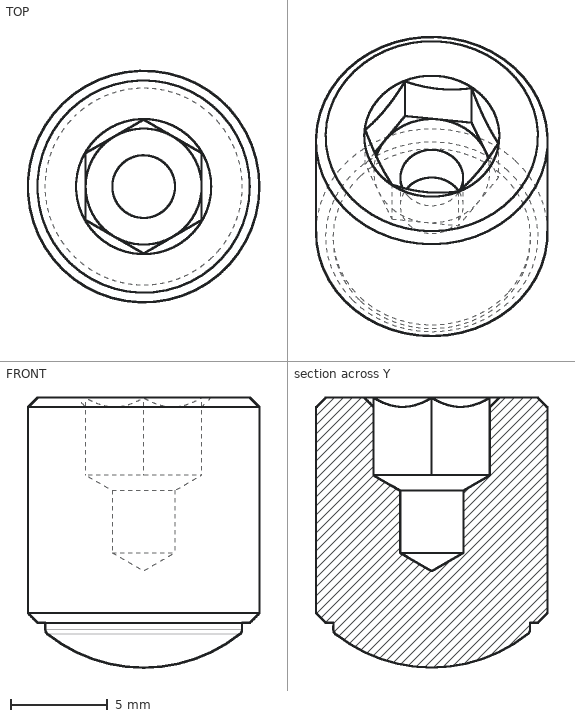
import cadquery as cq
import math

total_height = 14.0
body_diameter = 12.0
edge_chamfer = 0.5

pad_height = 2.32
pad_diameter = 10.2
dome_radius = 8.0
dome_edge_fillet = 0.3

hex_across_flats = 6.0
hex_depth = 4.03
countersink_diameter = 7.0
countersink_angle = 45.0
pilot_diameter = 3.25
pilot_depth = 3.22
drill_slope = math.radians(30.0)


def make_body():
    return (
        cq.Workplane("XY", origin=(0, 0, pad_height))
        .circle(body_diameter / 2)
        .extrude(total_height - pad_height)
        .edges()
        .chamfer(edge_chamfer)
    )


def make_pad():
    """Cylinder ending in a spherical cap whose lowest point is at the origin."""
    radius = pad_diameter / 2
    cap_height = dome_radius - math.sqrt(dome_radius**2 - radius**2)
    half_angle = math.asin(radius / dome_radius) / 2
    arc_middle = (
        dome_radius * math.sin(half_angle),
        dome_radius * (1 - math.cos(half_angle)),
    )
    overlap = edge_chamfer
    cap_edge = cq.selectors.BoxSelector(
        (-body_diameter, -body_diameter, cap_height / 2),
        (body_diameter, body_diameter, cap_height + dome_edge_fillet / 2),
        boundingbox=False,
    )
    return (
        cq.Workplane("XZ")
        .moveTo(0, 0)
        .threePointArc(arc_middle, (radius, cap_height))
        .lineTo(radius, pad_height + overlap)
        .lineTo(0, pad_height + overlap)
        .close()
        .revolve(360, (0, 0, 0), (0, 1, 0))
        .edges("%CIRCLE")
        .edges(cap_edge)
        .fillet(dome_edge_fillet)
    )


def make_hex_socket():
    across_corners = hex_across_flats / math.cos(math.radians(30))
    return (
        cq.Workplane("XY", origin=(0, 0, total_height))
        .transformed(rotate=(0, 0, 90))
        .polygon(6, across_corners)
        .extrude(-hex_depth)
    )


def make_round_socket():
    """Countersunk mouth, conical floor and pilot hole, turned as one profile."""
    mouth_radius = countersink_diameter / 2
    hex_radius = hex_across_flats / 2
    pilot_radius = pilot_diameter / 2
    countersink_depth = (mouth_radius - hex_radius) / math.tan(math.radians(countersink_angle))
    floor_z = total_height - hex_depth
    pilot_top_z = floor_z - (hex_radius - pilot_radius) * math.tan(drill_slope)
    pilot_bottom_z = pilot_top_z - pilot_depth
    tip_z = pilot_bottom_z - pilot_radius * math.tan(drill_slope)
    return (
        cq.Workplane("XZ")
        .moveTo(0, total_height)
        .lineTo(mouth_radius, total_height)
        .lineTo(hex_radius, total_height - countersink_depth)
        .lineTo(hex_radius, floor_z)
        .lineTo(pilot_radius, pilot_top_z)
        .lineTo(pilot_radius, pilot_bottom_z)
        .lineTo(0, tip_z)
        .close()
        .revolve(360, (0, 0, 0), (0, 1, 0))
    )


result = make_body().union(make_pad()).cut(make_hex_socket()).cut(make_round_socket())